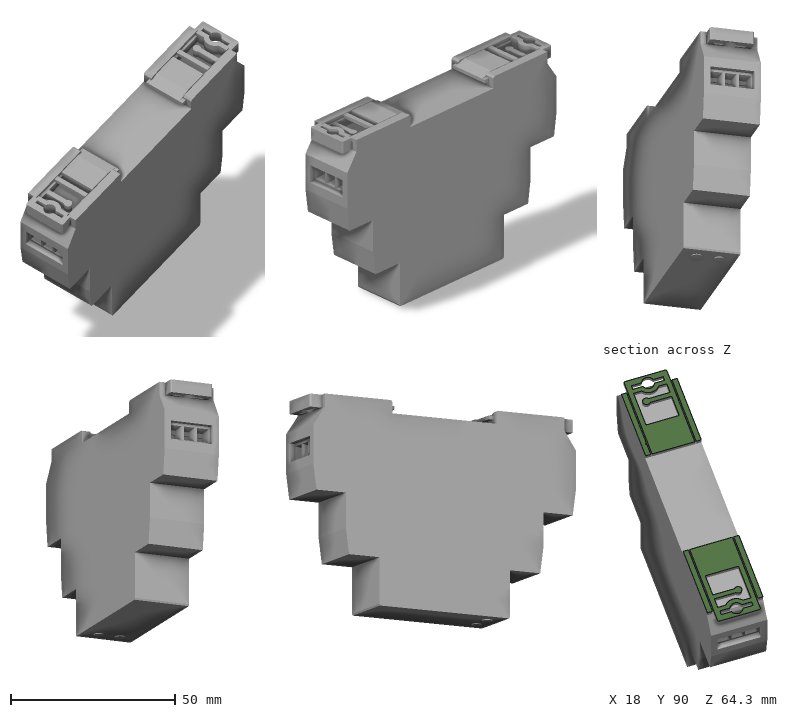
import cadquery as cq

WIDTH = 18.0
LENGTH = 90.0
OVERALL_HEIGHT = 64.3
LENS_PROUD = 0.3
HEIGHT = OVERALL_HEIGHT - LENS_PROUD

HALF_LENGTH = LENGTH / 2
RAIL_OUTER_Y = HALF_LENGTH - 4.0
RAIL_INNER_Y = 17.8
RAIL_CHAMFER = 0.5
DECK_Z = HEIGHT - 4.05
SHOULDER_Z = HEIGHT - 9.9
UPPER_TIER_TAPER_Z = HEIGHT - 22.05
UPPER_TIER_BOTTOM_Z = HEIGHT - 30.1
MIDDLE_TIER_TAPER_Z = HEIGHT - 41.0
MIDDLE_TIER_BOTTOM_Z = HEIGHT - 49.05
TIER_TAPER = 1.1
MIDDLE_HALF_LENGTH = 33.8
FACE_HALF_LENGTH = 22.4
BASE_BEVEL_HEIGHT = 0.5
BASE_BEVEL_DEPTH = 0.3

CHANNEL_HALF_WIDTH = 6.0
GROOVE_HALF_WIDTH = 7.2
LIP_THICKNESS = 1.3

CLEARANCE = 0.3
SLIDE_WIDTH = 2 * (CHANNEL_HALF_WIDTH - CLEARANCE)
FLANGE_WIDTH = 2 * (GROOVE_HALF_WIDTH - CLEARANCE)
FLANGE_TOP_Z = HEIGHT - LIP_THICKNESS
CLIP_BOTTOM_Z = HEIGHT - 2.4
CLIP_TIP_Y = 16.2
CLIP_SLOPE_START_Y = 20.2
END_CORNER_CHAMFER = 0.4

WINDOW_WIDTH = 10.5
WINDOW_INNER_Y = 28.35
WINDOW_OUTER_Y = 40.05
BAR_INNER_Y = 30.3
BAR_OUTER_Y = 31.9
TONGUE_WIDTH = 1.6
TONGUE_Y = 36.2
TONGUE_TIP_X = -2.5
TONGUE_TIP_DIAMETER = 2.5
KEYHOLE_Y = 42.2
KEYHOLE_DIAMETER = 3.8
KEYHOLE_WALL_RADIUS = 3.5
KEYHOLE_SLOT_LENGTH = 10.1
KEYHOLE_SLOT_WIDTH = 1.2

TERMINAL_Z = HEIGHT - 16.0
TERMINAL_WIDTH = 13.9
TERMINAL_HEIGHT = 5.9
TERMINAL_DEPTH = 1.9
FUNNEL_X = (-4.5, 0.0, 4.5)
FUNNEL_WIDTHS = (3.9, 3.6, 3.9)
FUNNEL_HEIGHT = 4.3
FUNNEL_INSET = 0.8
FUNNEL_DEPTH = 2.9
CLAMP_STEP = 0.45

LENSES = ((-3.6, 3.1), (3.5, 3.3))
LENS_Y = 17.5


def box(width, y_start, y_end, z_start, z_end):
    """Block centred on X between two Y and two Z positions."""
    return (
        cq.Workplane("XY", origin=(0, (y_start + y_end) / 2, z_start))
        .box(width, y_end - y_start, z_end - z_start, centered=(True, True, False))
    )


def disc(x, y, diameter, z_start, z_end):
    """Upright cylinder between two Z positions."""
    return cq.Workplane("XY", origin=(x, y, z_start)).circle(diameter / 2).extrude(z_end - z_start)


def extrude_yz(points, width):
    """Y-Z outline extruded symmetrically about X = 0."""
    return cq.Workplane("YZ").polyline(points).close().extrude(width / 2, both=True)


def make_housing():
    """Stepped housing with a recessed deck between two pairs of rails."""
    half_outline = [
        (RAIL_INNER_Y, DECK_Z),
        (RAIL_INNER_Y, HEIGHT - RAIL_CHAMFER),
        (RAIL_INNER_Y + RAIL_CHAMFER, HEIGHT),
        (RAIL_OUTER_Y, HEIGHT),
        (RAIL_OUTER_Y, DECK_Z),
        (HALF_LENGTH, SHOULDER_Z),
        (HALF_LENGTH, UPPER_TIER_TAPER_Z),
        (HALF_LENGTH - TIER_TAPER, UPPER_TIER_BOTTOM_Z),
        (MIDDLE_HALF_LENGTH, UPPER_TIER_BOTTOM_Z),
        (MIDDLE_HALF_LENGTH, MIDDLE_TIER_TAPER_Z),
        (MIDDLE_HALF_LENGTH - TIER_TAPER, MIDDLE_TIER_BOTTOM_Z),
        (FACE_HALF_LENGTH, MIDDLE_TIER_BOTTOM_Z),
        (FACE_HALF_LENGTH, BASE_BEVEL_HEIGHT),
        (FACE_HALF_LENGTH - BASE_BEVEL_DEPTH, 0),
    ]
    mirrored = [(-y, z) for y, z in reversed(half_outline)]
    return extrude_yz(half_outline + mirrored, WIDTH)


def make_channel():
    """T-shaped cutter that separates the two rails at the +Y end."""
    slot = box(2 * CHANNEL_HALF_WIDTH, RAIL_INNER_Y, RAIL_OUTER_Y, DECK_Z, HEIGHT)
    groove = box(2 * GROOVE_HALF_WIDTH, RAIL_INNER_Y, RAIL_OUTER_Y, DECK_Z, FLANGE_TOP_Z)
    return slot.union(groove)


def make_slide():
    """Clip slide at the +Y end, standing on the deck."""
    clip_outline = [
        (CLIP_TIP_Y, CLIP_BOTTOM_Z),
        (CLIP_TIP_Y, FLANGE_TOP_Z),
        (CLIP_SLOPE_START_Y, HEIGHT),
        (WINDOW_INNER_Y, HEIGHT),
        (WINDOW_INNER_Y, CLIP_BOTTOM_Z),
    ]
    flange = box(FLANGE_WIDTH, CLIP_TIP_Y, RAIL_OUTER_Y, CLIP_BOTTOM_Z, FLANGE_TOP_Z)
    foot = box(FLANGE_WIDTH, RAIL_INNER_Y, RAIL_OUTER_Y, DECK_Z, CLIP_BOTTOM_Z)
    window = box(WINDOW_WIDTH, WINDOW_INNER_Y, WINDOW_OUTER_Y, DECK_Z, HEIGHT)
    cross_bar = box(SLIDE_WIDTH, BAR_INNER_Y, BAR_OUTER_Y, FLANGE_TOP_Z, HEIGHT)

    slide = extrude_yz(clip_outline, SLIDE_WIDTH).union(flange).union(foot).cut(window)
    slide = slide.union(make_end_block()).union(make_tongue()).union(cross_bar)
    return slide.cut(make_keyhole())


def make_end_block():
    """Outer block of the slide, with a round wall behind its keyhole."""
    block = box(FLANGE_WIDTH, RAIL_OUTER_Y, HALF_LENGTH, DECK_Z, HEIGHT)
    block = block.edges("|Z and >Y").chamfer(END_CORNER_CHAMFER)
    neck = box(SLIDE_WIDTH, WINDOW_OUTER_Y, RAIL_OUTER_Y, DECK_Z, HEIGHT)
    inner_side = box(SLIDE_WIDTH, BAR_OUTER_Y, KEYHOLE_Y, DECK_Z, HEIGHT)
    round_wall = disc(0, KEYHOLE_Y, 2 * KEYHOLE_WALL_RADIUS, DECK_Z, HEIGHT).intersect(inner_side)
    return block.union(neck).union(round_wall)


def make_tongue():
    """Spring tongue reaching from the +X window wall to a rounded tip."""
    root_x = FLANGE_WIDTH / 2
    stem = box(root_x - TONGUE_TIP_X, TONGUE_Y - TONGUE_WIDTH / 2, TONGUE_Y + TONGUE_WIDTH / 2,
               DECK_Z, FLANGE_TOP_Z)
    stem = stem.translate(((TONGUE_TIP_X + root_x) / 2, 0, 0))
    return stem.union(disc(TONGUE_TIP_X, TONGUE_Y, TONGUE_TIP_DIAMETER, DECK_Z, FLANGE_TOP_Z))


def make_keyhole():
    """Screwdriver opening: round hole crossed by a narrow slot."""
    slot = box(KEYHOLE_SLOT_LENGTH, KEYHOLE_Y - KEYHOLE_SLOT_WIDTH / 2,
               KEYHOLE_Y + KEYHOLE_SLOT_WIDTH / 2, DECK_Z, HEIGHT)
    return slot.union(disc(0, KEYHOLE_Y, KEYHOLE_DIAMETER, DECK_Z, HEIGHT))


def make_terminal():
    """Cutter for the terminal opening and its wire funnels at the +Y end."""
    floor_y = HALF_LENGTH - TERMINAL_DEPTH
    funnel_end_y = floor_y - FUNNEL_DEPTH
    cutter = box(TERMINAL_WIDTH, floor_y, HALF_LENGTH,
                 TERMINAL_Z - TERMINAL_HEIGHT / 2, TERMINAL_Z + TERMINAL_HEIGHT / 2)
    throat_height = FUNNEL_HEIGHT - 2 * FUNNEL_INSET
    for x, width in zip(FUNNEL_X, FUNNEL_WIDTHS):
        throat_width = width - 2 * FUNNEL_INSET
        funnel = (
            cq.Workplane("XZ", origin=(x, floor_y, TERMINAL_Z))
            .rect(width, FUNNEL_HEIGHT)
            .workplane(offset=FUNNEL_DEPTH)
            .rect(throat_width, throat_height)
            .loft()
        )
        lower_throat = box(throat_width, funnel_end_y - CLAMP_STEP, funnel_end_y,
                           TERMINAL_Z - throat_height / 2, TERMINAL_Z).translate((x, 0, 0))
        cutter = cutter.union(funnel).union(lower_throat)
    return cutter


def at_both_ends(feature):
    """The +Y feature together with its copy turned half a turn about Z."""
    return feature, feature.rotate((0, 0, 0), (0, 0, 1), 180)


result = make_housing()
for cutter in at_both_ends(make_channel()) + at_both_ends(make_terminal()):
    result = result.cut(cutter)
for slide in at_both_ends(make_slide()):
    result = result.union(slide)
for lens_x, lens_diameter in LENSES:
    result = result.union(disc(lens_x, LENS_Y, lens_diameter, -LENS_PROUD, 0))